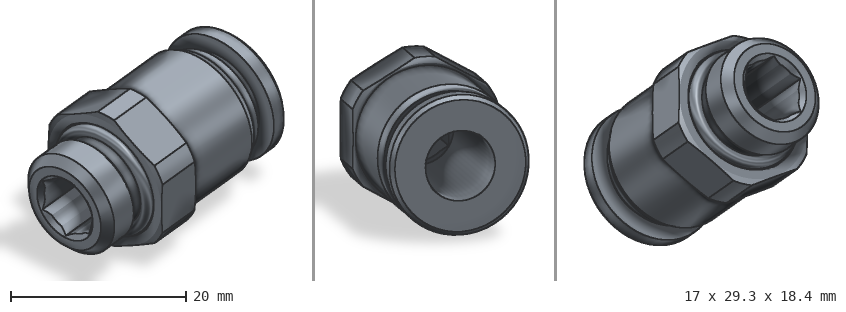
import cadquery as cq
import math

tip_chamfer = 1.1
thread_end = 4.45
neck_start = 4.95
hex_front = 7.0
hex_thickness = 6.0
hex_back = hex_front + hex_thickness
sleeve_length = 11.2
sleeve_end = hex_back + sleeve_length
collar_end = 25.7
collet_neck_end = 27.05
overall_length = 29.3

thread_radius = 6.5
neck_radius = 5.72
sleeve_radius = 8.2
collar_radius = 7.0
collet_neck_radius = 6.02

sleeve_chamfer_length = 1.0
sleeve_chamfer_depth = 0.55
flange_chamfer = 0.5

hex_width = 17.0
hex_corner_radius = 9.19
hex_chamfer_radius = 8.48
hex_chamfer_angle = 15.0

ring_section_radius = 0.75
ring_center_radius = neck_radius + ring_section_radius
seat_radius = 7.35
seat_depth = 0.6

socket_width = 7.0
passage_radius = 3.6
mouth_radius = 4.2
socket_end = 10.0
tube_radius = 4.1


def turned(profile):
    """Revolve (radius, distance along Y) points around the Y axis."""
    return cq.Workplane("XY").polyline(profile).close().revolve(360, (0, 0, 0), (0, 1, 0))


def hexagon(width, start, end):
    """Hexagonal prism along Y with two corners on the Z axis."""
    corner_diameter = width / math.cos(math.pi / 6)
    return (
        cq.Workplane("XZ", origin=(0, end, 0))
        .transformed(rotate=(0, 0, 90))
        .polygon(6, corner_diameter)
        .extrude(end - start)
    )


def turned_body():
    """Thread, neck, sleeve, collar and collet flange, in order along the axis."""
    profile = [
        (0, 0),
        (thread_radius - tip_chamfer, 0),
        (thread_radius, tip_chamfer),
        (thread_radius, thread_end),
        (neck_radius, neck_start),
        (neck_radius, hex_front + seat_depth),
        (sleeve_radius, hex_front + seat_depth),
        (sleeve_radius, sleeve_end - sleeve_chamfer_length),
        (sleeve_radius - sleeve_chamfer_depth, sleeve_end),
        (collar_radius, sleeve_end),
        (collar_radius, collar_end),
        (collet_neck_radius, collar_end),
        (collet_neck_radius, collet_neck_end),
        (sleeve_radius, collet_neck_end),
        (sleeve_radius, overall_length - flange_chamfer),
        (sleeve_radius - flange_chamfer, overall_length),
        (0, overall_length),
    ]
    return turned(profile)


def wrench_hexagon():
    """Hexagon with rounded corners, chamfered ends and the O-ring seat cut out."""
    chamfer_length = (hex_corner_radius - hex_chamfer_radius) * math.tan(math.radians(hex_chamfer_angle))
    envelope = turned([
        (seat_radius, hex_front),
        (hex_chamfer_radius, hex_front),
        (hex_corner_radius, hex_front + chamfer_length),
        (hex_corner_radius, hex_back - chamfer_length),
        (hex_chamfer_radius, hex_back),
        (0, hex_back),
        (0, hex_front + seat_depth),
        (seat_radius, hex_front + seat_depth),
    ])
    return hexagon(hex_width, hex_front, hex_back).intersect(envelope)


def passage():
    """Conical mouth, hexagon socket with a round bore, and the tube bore behind it."""
    bore = turned([
        (0, 0),
        (mouth_radius, 0),
        (passage_radius, mouth_radius - passage_radius),
        (passage_radius, socket_end),
        (tube_radius, socket_end),
        (tube_radius, overall_length),
        (0, overall_length),
    ])
    socket = hexagon(socket_width, 0, socket_end)
    return bore.union(socket)


def o_ring():
    """Sealing ring that hugs the neck and rests on the floor of its seat."""
    center = cq.Vector(0, hex_front + seat_depth - ring_section_radius, 0)
    return cq.Solid.makeTorus(ring_center_radius, ring_section_radius, center, cq.Vector(0, 1, 0))


body = turned_body().union(wrench_hexagon()).cut(passage())
sealing_ring = o_ring()
result = cq.Compound.makeCompound([body.val(), sealing_ring])